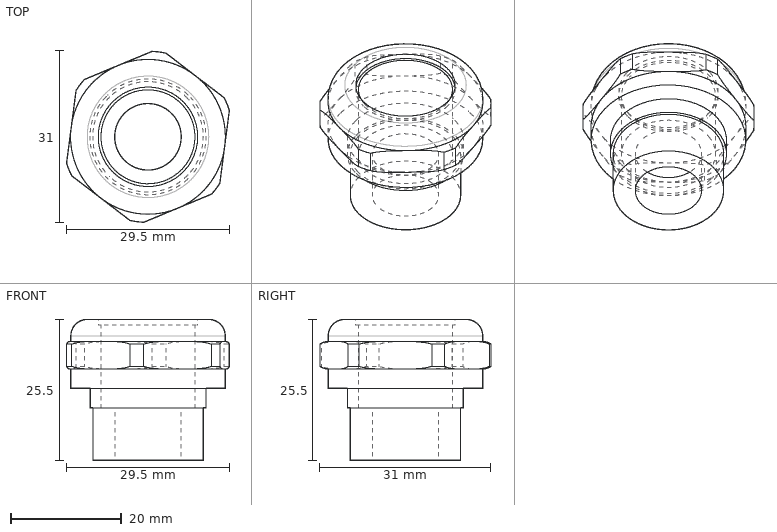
import cadquery as cq

spigot_diameter = 20.0
neck_diameter = 21.0
cap_diameter = 28.0

neck_bottom = 9.5
flange_bottom = 13.0
hex_bottom = 16.5
hex_height = 5.0
total_height = 25.5
dome_radius = 3.0

across_flats = 28.0
corner_diameter = 31.0
hex_crown_height = 0.5
crown_clearance = 0.02
hex_turn = -7.45

mouth_diameter = 18.0
mouth_depth = 1.0
bore_diameter = 17.0
bore_floor = neck_bottom
through_diameter = 12.0


def cylinder(diameter, bottom, top):
    """Solid cylinder on the Z axis between two heights."""
    return cq.Workplane("XY").workplane(offset=bottom).circle(diameter / 2).extrude(top - bottom)


def make_body():
    """Spigot, neck and cap stacked on one axis, with a rounded rim on top."""
    spigot = cylinder(spigot_diameter, 0, neck_bottom)
    neck = cylinder(neck_diameter, neck_bottom, flange_bottom)
    cap = cylinder(cap_diameter, flange_bottom, total_height)
    cap = cap.faces(">Z").edges().fillet(dome_radius)
    return spigot.union(neck).union(cap)


def make_hexagon():
    """Hexagonal band, trimmed by a cylinder whose two ends are crowned by shallow arcs."""
    hexagon = (
        cq.Workplane("XY")
        .workplane(offset=hex_bottom)
        .polygon(6, across_flats, circumscribed=True)
        .extrude(hex_height)
        .rotate((0, 0, 0), (0, 0, 1), hex_turn)
    )
    rim_radius = across_flats / 2 + crown_clearance
    corner_radius = corner_diameter / 2
    hex_top = hex_bottom + hex_height
    crown_width = corner_radius - rim_radius
    crown_radius = (crown_width**2 + hex_crown_height**2) / (2 * hex_crown_height)
    trim = (
        cq.Workplane("XZ")
        .moveTo(0, hex_bottom)
        .lineTo(rim_radius, hex_bottom)
        .radiusArc((corner_radius, hex_bottom + hex_crown_height), -crown_radius)
        .lineTo(corner_radius, hex_top - hex_crown_height)
        .radiusArc((rim_radius, hex_top), -crown_radius)
        .lineTo(0, hex_top)
        .close()
        .revolve(360, (0, 0, 0), (0, 1, 0))
    )
    return hexagon.intersect(trim)


def make_bore():
    """Through hole, main bore and the wider mouth at the top."""
    through_hole = cylinder(through_diameter, 0, total_height)
    main_bore = cylinder(bore_diameter, bore_floor, total_height)
    mouth = cylinder(mouth_diameter, total_height - mouth_depth, total_height)
    return through_hole.union(main_bore).union(mouth)


result = make_body().union(make_hexagon()).cut(make_bore())